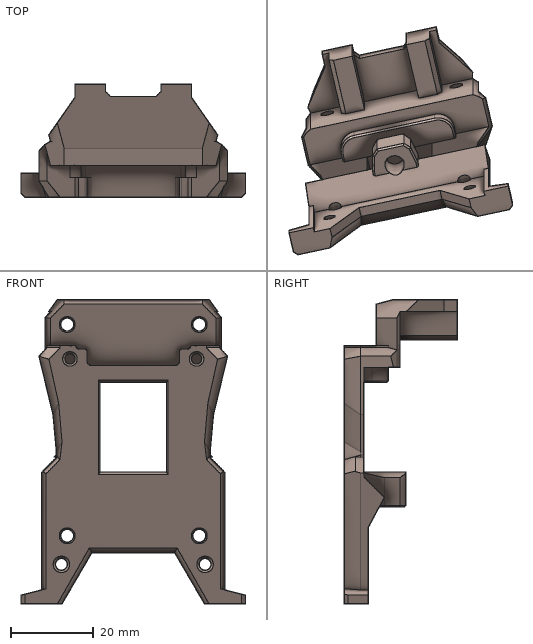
import cadquery as cq
import math

height = 74.1
depth = 27.6
foot_half_width = 27.35

plate_depth = 4.8
flank_y = 4.0
ear_top = 62.9
ear_rim = 0.5
front_flank = [
    (17.8, ear_top), (17.8, ear_top - ear_rim), (20.5, 59.6), (18.15, 48.85), (17.35, 39.4),
    (17.85, 35.1), (21.3, 31.65), (21.3, 0.0),
]
rear_flank = [
    (21.0, ear_top), (21.0, ear_top - ear_rim), (23.0, 60.3), (19.6, 46.1), (18.75, 37.05),
    (18.8, 36.25), (22.4, 32.7), (22.4, 0.0),
]
leg_half_width = rear_flank[-1][0]

shoulder_y = 2.75
shoulder_inner = 18.5
shoulder_outer = 23.0
shoulder_top = 35.7

arch_top_front = 13.65
arch_top_rear = 12.45
arch_front = [(10.7, arch_top_front), (18.45, 0.0)]
arch_rear = [(10.1, arch_top_rear), (17.35, 0.0)]
arch_bevel_depth = 2.5

rim_depth = 5.9
rim_inner = front_flank[-1][0]
foot_root_height = 3.4
foot_tip_height = 2.15
foot_corner = 1.0

window_half_width = 8.45
window_bottom = 31.6
window_top = 54.5
window_bevel = 0.555
window_side_bevel = 0.4

rib_y = 9.8
rib_z = 25.95
rib_foot_z = 18.7
block_bottom = 23.6
block_top = window_bottom + window_bevel
block_depth = 15.05
block_chamfer = 1.4
block_half_width = 5.6
block_rear_half_width = 4.75
block_roof_front_half_width = 5.4
block_roof_rear_half_width = 3.05
block_bottom_chamfer = 0.45
block_bore_diameter = 4.7
block_bore_y = 10.3

head_front = 7.8
head_back = 13.65
head_bottom = 57.6
head_half_width = 20.15
head_side_top = 69.7
head_bevel_half_width = 16.8
head_bevel_top = 73.0
draft = math.tan(math.radians(15))
rear_corner = [(23.0, 11.35), (21.6, 12.8), (20.2, head_back)]

roof_bottom = 71.2
roof_back = 24.6
roof_corner_y = 24.3
roof_half_width = 21.65
lug_outer = 14.2
lug_inner = 6.75
lug_inset = 1.7
lug_bottom = 64.25
lug_chamfer = 1.1
lug_root_chamfer = 1.2

notch_floor = 58.1
notch_half_width = 11.3
notch_fillet = 1.05
notch_top_fillet = 0.5
notch_step_z = 62.05
notch_step_inner = 13.35
notch_step_outer = 14.15
notch_wide_half_width = 12.7
ear_boss_radius = 3.1

tray_half_width = 14.1
tray_bottom = 53.9
tray_back = 10.75
tray_corner = 4.0
tray_chamfer = 0.45

main_hole_x = 16.1
head_hole_z = 68.05
body_hole_z = 16.6
main_hole_diameter = 3.1
main_hole_rim = 3.85
leg_hole_x = 17.5
leg_hole_z = 9.6
leg_hole_diameter = 2.8
leg_hole_rim = 4.0
ear_hole_x = 15.4
ear_hole_z = 59.7
ear_hole_diameter = 2.5
ear_hole_rim = 3.55
ear_hole_depth = 8.9


def mirrored(half):
    """Close a half outline, given from one end on the right to the other, over to the left."""
    return half + [(-x, z) for x, z in reversed(half)]


def front_sketch(y):
    """XZ workplane at depth y; extruding by a negative length goes toward +Y."""
    return cq.Workplane("XZ", origin=(0, y, 0))


def loft_y(y0, outline0, y1, outline1):
    """Solid with straight edges between two XZ outlines."""
    lower = front_sketch(y0).polyline(outline0).close()
    return lower.workplane(offset=y0 - y1).polyline(outline1).close().loft(ruled=True, combine=True)


def extrude_y(outline, y0, y1):
    return front_sketch(y0).polyline(outline).close().extrude(y0 - y1)


def extrude_z(outline, z0, z1):
    return cq.Workplane("XY", origin=(0, 0, z0)).polyline(outline).close().extrude(z1 - z0)


def box(x0, x1, y0, y1, z0, z1):
    return cq.Workplane("XY").box(x1 - x0, y1 - y0, z1 - z0, centered=False).translate((x0, y0, z0))


def both_sides(solid):
    return solid.union(solid.mirror("YZ"))


def make_plate():
    plate = loft_y(0, mirrored(front_flank), flank_y, mirrored(rear_flank))
    plate = plate.union(extrude_y(mirrored(rear_flank), flank_y, plate_depth))
    shoulder = [
        (shoulder_inner, shoulder_top), (shoulder_outer, shoulder_top),
        (shoulder_outer, shoulder_top - (shoulder_outer - shoulder_inner)),
    ]
    return plate.cut(both_sides(extrude_y(shoulder, shoulder_y, plate_depth)))


def make_rib():
    lower_slope = (rib_y - rim_depth) / (rib_z - rib_foot_z)
    inner_y = plate_depth / 2
    profile = [
        (inner_y, rib_z - (rib_y - inner_y) / lower_slope), (rib_y, rib_z),
        (inner_y, rib_z + rib_y - inner_y),
    ]
    rib = cq.Workplane("YZ", origin=(-leg_half_width, 0, 0)).polyline(profile).close()
    rib = rib.extrude(2 * leg_half_width)
    return rib.intersect(extrude_y(mirrored(rear_flank), flank_y, depth))


def make_block():
    plan = [
        (block_half_width, flank_y), (block_half_width, rib_y),
        (block_rear_half_width, block_depth - block_chamfer),
        (block_rear_half_width - block_chamfer, block_depth),
    ]
    block = extrude_z(mirrored(plan), block_bottom, block_top)
    block = block.faces("<Z").edges("not <Y").chamfer(block_bottom_chamfer)
    rise = block_top - block_bottom
    front, rear = [
        mirrored([(half, block_top), (half + rise, block_bottom)])
        for half in (block_roof_front_half_width, block_roof_rear_half_width)
    ]
    sloped_sides = extrude_y(front, flank_y, plate_depth).union(loft_y(plate_depth, front, block_depth, rear))
    return block.intersect(sloped_sides)


def make_foot():
    """Right foot with the raised rim of its leg."""
    slope = (foot_root_height - foot_tip_height) / (foot_half_width - leg_half_width)
    outline = [
        (rim_inner, 0), (foot_half_width, 0), (foot_half_width, foot_tip_height),
        (rim_inner, foot_tip_height + slope * (foot_half_width - rim_inner)),
    ]
    foot = extrude_y(outline, 0, rim_depth)
    foot = foot.faces(">X").edges("<Y").chamfer(foot_corner)
    return foot.union(box(rim_inner, leg_half_width, flank_y, rim_depth, 0, rib_foot_z))


def make_tray():
    """Rounded tray under the notch and the thin shelf that joins it to the head."""
    tray = box(-tray_half_width, tray_half_width, flank_y, tray_back, tray_bottom, ear_top)
    tray = tray.edges("|Z and >Y").fillet(tray_corner)
    tray = tray.faces("<Z").edges(">Y").chamfer(tray_chamfer)
    return tray.union(box(-tray_half_width, tray_half_width, flank_y, head_back, head_bottom, ear_top))


def rear_limit():
    """Plan outline that bevels the rear corners of the ears and the head."""
    plan = [(rear_corner[0][0], 0)] + rear_corner
    return extrude_z(mirrored(plan), 0, height)


def make_ears():
    ears = extrude_y(mirrored(rear_flank), flank_y, head_back)
    band = box(-foot_half_width, foot_half_width, 0, depth, head_bottom, ear_top)
    return ears.intersect(rear_limit()).intersect(band)


def head_envelope():
    """Head outline growing toward the back with the draft, cut flat at the top."""
    growth = (depth - head_front) * draft
    front = [
        (head_half_width, head_bottom), (head_half_width, head_side_top),
        (head_bevel_half_width, head_bevel_top),
    ]
    rear = [
        (head_half_width + growth, head_bottom), (head_half_width + growth, head_side_top),
        (head_bevel_half_width, head_bevel_top + growth),
    ]
    hull = loft_y(head_front, mirrored(front), depth, mirrored(rear))
    return hull.intersect(box(-2 * height, 2 * height, 0, depth, 0, height))


def make_head():
    envelope = head_envelope()
    plate = envelope.intersect(rear_limit())
    roof_plan = [
        (roof_half_width, head_front), (roof_half_width, head_back),
        (lug_outer, roof_corner_y), (lug_outer, roof_back),
    ]
    roof = extrude_z(mirrored(roof_plan), roof_bottom, height)
    return plate.union(roof.intersect(envelope))


def make_lug():
    plan = [
        (lug_inner, depth), (lug_inner, roof_back + lug_root_chamfer),
        (lug_inner - lug_root_chamfer, roof_back), (lug_inner - lug_root_chamfer, head_back),
        (lug_outer, head_back), (lug_outer, depth),
    ]
    top = extrude_z(plan, roof_bottom, height)
    arm = box(lug_inner, lug_outer - lug_inset, head_back, depth, lug_bottom, height)
    return top.union(arm.faces("<Z").edges(">X").chamfer(lug_chamfer))


def make_notch():
    step_corner = (notch_half_width + notch_top_fillet, notch_step_z)
    narrow = (
        front_sketch(0).moveTo(0, notch_floor)
        .lineTo(notch_half_width - notch_fillet, notch_floor)
        .radiusArc((notch_half_width, notch_floor + notch_fillet), -notch_fillet)
        .lineTo(notch_half_width, notch_step_z - notch_top_fillet)
        .radiusArc(step_corner, notch_top_fillet)
        .lineTo(notch_step_inner, notch_step_z)
        .lineTo(notch_step_outer, ear_top)
        .lineTo(0, ear_top).close().extrude(-head_front)
    )
    wall_top = ear_hole_z + math.sqrt(ear_boss_radius**2 - (ear_hole_x - notch_wide_half_width) ** 2)
    wide = (
        front_sketch(plate_depth).moveTo(0, notch_floor)
        .lineTo(notch_wide_half_width - notch_fillet, notch_floor)
        .radiusArc((notch_wide_half_width, notch_floor + notch_fillet), -notch_fillet)
        .lineTo(notch_wide_half_width, wall_top)
        .radiusArc((ear_hole_x, ear_hole_z + ear_boss_radius), ear_boss_radius)
        .lineTo(ear_hole_x, ear_top)
        .lineTo(0, ear_top).close().extrude(plate_depth - head_front)
    )
    return both_sides(narrow.union(wide))


def make_arch():
    bevel = loft_y(0, mirrored(arch_front), arch_bevel_depth, mirrored(arch_rear))
    return bevel.union(extrude_y(mirrored(arch_rear), arch_bevel_depth, depth))


def make_window():
    def outline(side_inset, end_inset):
        half = window_half_width - side_inset
        return mirrored([(half, window_bottom + end_inset), (half, window_top - end_inset)])

    front = outline(0, 0)
    rear = outline(window_side_bevel, window_bevel)
    bevel = loft_y(0, front, window_bevel, rear)
    return bevel.union(extrude_y(rear, window_bevel, plate_depth))


def make_hole(x, z, y, diameter, rim, length):
    """Hole along Y on both sides, with a 45 degree countersink at its front."""
    sink = (rim - diameter) / 2
    profile = [(0, 0), (rim / 2, 0), (diameter / 2, sink), (diameter / 2, length), (0, length)]
    hole = cq.Workplane("XY").polyline(profile).close().revolve(360, (0, 0), (0, 1))
    return both_sides(hole.translate((x, y, z)))


body = make_plate().union(make_rib()).union(make_ears()).union(make_tray())
body = body.union(make_block()).union(both_sides(make_foot()))
body = body.cut(make_notch()).cut(make_arch()).cut(make_window())
body = body.union(make_head()).union(both_sides(make_lug()))

bore = cq.Workplane("XY").center(0, block_bore_y).circle(block_bore_diameter / 2).extrude(block_top)
body = body.cut(bore)
body = body.cut(make_hole(main_hole_x, head_hole_z, head_front, main_hole_diameter, main_hole_rim, depth))
body = body.cut(make_hole(main_hole_x, body_hole_z, 0, main_hole_diameter, main_hole_rim, depth))
body = body.cut(make_hole(leg_hole_x, leg_hole_z, 0, leg_hole_diameter, leg_hole_rim, depth))
result = body.cut(make_hole(ear_hole_x, ear_hole_z, 0, ear_hole_diameter, ear_hole_rim, ear_hole_depth))